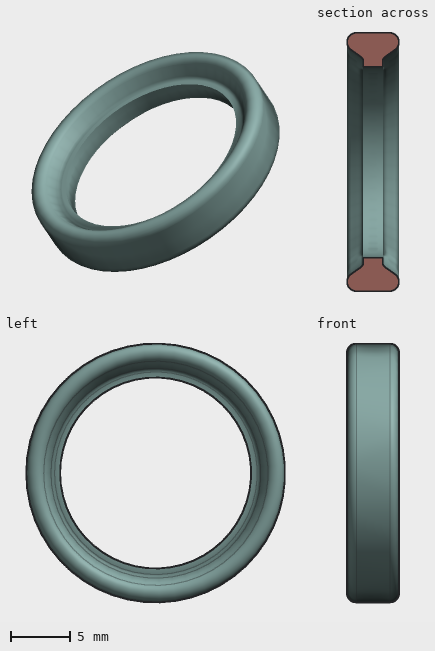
import cadquery as cq
import math

outer_radius = 10.9
width = 4.4
bore_radius = 8.02
floor_outer_radius = 8.52
rib_width = 1.7
rim_radius = 0.8
root_radius = 0.37

half_rib = rib_width / 2
rim_center = (width / 2 - rim_radius, outer_radius - rim_radius)
root_center = (half_rib + root_radius, floor_outer_radius)

axial_gap = rim_center[0] - root_center[0]
radial_gap = rim_center[1] - root_center[1]
center_distance = math.hypot(axial_gap, radial_gap)
center_angle = math.atan2(radial_gap, axial_gap)
root_normal = center_angle + math.acos((rim_radius + root_radius) / center_distance)
rim_normal = root_normal - math.pi


def point_on_arc(center, radius, angle):
    return (center[0] + radius * math.cos(angle), center[1] + radius * math.sin(angle))


def mirrored(point):
    """Reflect a section point across the middle plane of the ring."""
    return (-point[0], point[1])


rim_start = (rim_center[0], outer_radius)
rim_middle = point_on_arc(rim_center, rim_radius, (math.pi / 2 + rim_normal) / 2)
rim_end = point_on_arc(rim_center, rim_radius, rim_normal)
root_start = point_on_arc(root_center, root_radius, root_normal)
root_middle = point_on_arc(root_center, root_radius, (root_normal + math.pi) / 2)
root_end = (half_rib, floor_outer_radius)
bore_edge = (half_rib, bore_radius)

section = (
    cq.Workplane("XY")
    .moveTo(*mirrored(rim_start))
    .lineTo(*rim_start)
    .threePointArc(rim_middle, rim_end)
    .lineTo(*root_start)
    .threePointArc(root_middle, root_end)
    .lineTo(*bore_edge)
    .lineTo(*mirrored(bore_edge))
    .lineTo(*mirrored(root_end))
    .threePointArc(mirrored(root_middle), mirrored(root_start))
    .lineTo(*mirrored(rim_end))
    .threePointArc(mirrored(rim_middle), mirrored(rim_start))
    .close()
)

result = section.revolve(360, (0, 0, 0), (1, 0, 0))